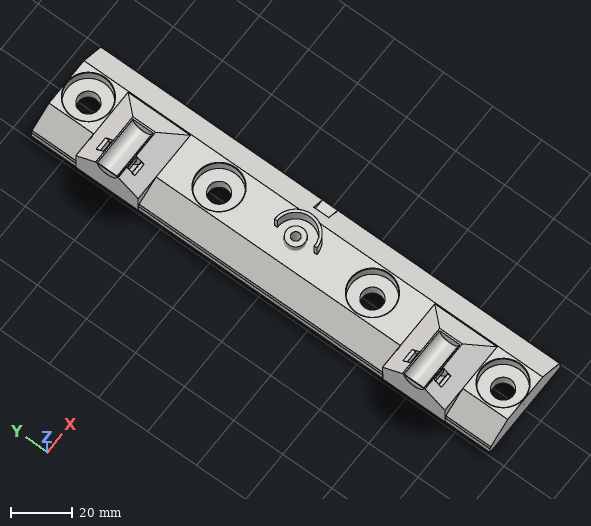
import cadquery as cq
import math

rail_length = 187.0
rail_width = 38.0
rail_height = 9.5
slope_angle = 31.0

strip_bottom_z = 3.0
strip_top_z = 4.0
strip_inset = 0.4

block_overhang = 0.15
total_height = 15.5
block_offset_y = 62.5
block_length = 25.4
block_angle = 36.5
block_end_x = 9.1

cradle_diameter = 8.1
cradle_end_x = 0.3

strap_width = 5.0
strap_inset = 4.5
strap_floor_z = 13.1
strap_mouth_length = 18.0
strap_inner_radius = 4.9
strap_outer_radius = 6.5

screw_offsets_y = (31.25, 84.5)
screw_diameter = 8.1
counterbore_diameter = 17.25
counterbore_chamfer = 0.2
counterbore_floor_z = 5.0

boss_diameter = 7.5
boss_height = 2.9
boss_fillet = 0.5
boss_hole_diameter = 3.4
ring_diameter = 17.25
ring_wall = 1.1
ring_height = 5.3

notch_length = 6.2
notch_inner_x = 13.75
notch_floor_z = 4.0

half_width = rail_width / 2
block_start_x = -half_width - block_overhang
slope_top_x = half_width - strip_inset - (rail_height - strip_top_z) / math.tan(math.radians(slope_angle))


def box(x_min, x_max, y_center, y_size, z_min, z_max):
    """Box given by its X and Z limits and its extent about y_center."""
    corner = cq.Vector(x_min, y_center - y_size / 2, z_min)
    return cq.Workplane(cq.Solid.makeBox(x_max - x_min, y_size, z_max - z_min, corner))


def z_cylinder(diameter, y, z_min, z_max):
    """Upright cylinder on the centre line of the rail."""
    return cq.Workplane("XY", origin=(0, y, z_min)).circle(diameter / 2).extrude(z_max - z_min)


def x_cylinder(radius, x_min, x_max, y, z):
    """Cylinder lying along X."""
    return cq.Workplane("YZ", origin=(x_min, y, z)).circle(radius).extrude(x_max - x_min)


def make_rail():
    outline = [
        (-half_width, 0),
        (half_width, 0),
        (half_width, strip_bottom_z),
        (half_width - strip_inset, strip_top_z),
        (slope_top_x, rail_height),
        (-slope_top_x, rail_height),
        (-half_width + strip_inset, strip_top_z),
        (-half_width, strip_bottom_z),
    ]
    return cq.Workplane("XZ").polyline(outline).close().extrude(rail_length / 2, both=True)


def make_block(y):
    """Block with a vertical -X face and equal slopes on its other three sides."""
    slope_run = (total_height - rail_height) / math.tan(math.radians(block_angle))
    half_length = block_length / 2
    lengthwise_outline = [
        (block_start_x, 0),
        (block_end_x, 0),
        (block_end_x, rail_height),
        (block_end_x - slope_run, total_height),
        (block_start_x, total_height),
    ]
    crosswise_outline = [
        (-half_length, 0),
        (half_length, 0),
        (half_length, rail_height),
        (half_length - slope_run, total_height),
        (-half_length + slope_run, total_height),
        (-half_length, rail_height),
    ]
    center = (0, y, 0)
    lengthwise = cq.Workplane("XZ", origin=center).polyline(lengthwise_outline).close()
    crosswise = cq.Workplane("YZ", origin=center).polyline(crosswise_outline).close()
    return lengthwise.extrude(half_length, both=True).intersect(crosswise.extrude(rail_width, both=True))


def cut_strap_passage(body, y):
    """Cut the side mouths and the round tunnel, leaving a U-shaped core under the cradle."""
    x_min = -half_width + strap_inset
    x_max = x_min + strap_width
    mouth = box(x_min, x_max, y, strap_mouth_length, strap_floor_z, total_height)
    tunnel = x_cylinder(strap_outer_radius, x_min, x_max, y, strap_floor_z)
    round_core = x_cylinder(strap_inner_radius, x_min, x_max, y, strap_floor_z)
    upper_core = box(x_min, x_max, y, 2 * strap_inner_radius, strap_floor_z, total_height)
    return body.cut(mouth.union(tunnel).cut(round_core.union(upper_core)))


def cut_cradle(body, y):
    return body.cut(x_cylinder(cradle_diameter / 2, -half_width, cradle_end_x, y, total_height))


def cut_screw_hole(body, y):
    """Through hole with a counterbore whose rim has a small chamfer."""
    counterbore_radius = counterbore_diameter / 2
    hole = z_cylinder(screw_diameter, y, 0, counterbore_floor_z)
    counterbore = z_cylinder(counterbore_diameter, y, counterbore_floor_z, rail_height)
    rim = cq.Solid.makeCone(
        counterbore_radius,
        counterbore_radius + counterbore_chamfer,
        counterbore_chamfer,
        cq.Vector(0, y, rail_height - counterbore_chamfer),
    )
    return body.cut(hole.union(counterbore)).cut(cq.Workplane(rim))


def add_boss(body):
    """Round boss with a fillet at its foot and a hole right through the rail."""
    boss_top_z = rail_height + boss_height
    body = body.union(z_cylinder(boss_diameter, 0, strip_top_z, boss_top_z))
    around_foot = cq.selectors.BoxSelector(
        (-boss_diameter, -boss_diameter, rail_height - boss_fillet),
        (boss_diameter, boss_diameter, rail_height + boss_fillet),
    )
    body = body.edges("%CIRCLE").edges(around_foot).fillet(boss_fillet)
    return body.cut(z_cylinder(boss_hole_diameter, 0, 0, boss_top_z))


def add_half_ring(body):
    ring_top_z = rail_height + ring_height
    outer = z_cylinder(ring_diameter, 0, strip_top_z, ring_top_z)
    inner = z_cylinder(ring_diameter - 2 * ring_wall, 0, strip_top_z, ring_top_z)
    positive_x_half = box(0, ring_diameter, 0, ring_diameter, strip_top_z, ring_top_z)
    return body.union(outer.cut(inner).intersect(positive_x_half))


def cut_notch(body):
    return body.cut(box(notch_inner_x, half_width, 0, notch_length, notch_floor_z, rail_height))


result = make_rail()
for side in (-1, 1):
    block_y = side * block_offset_y
    result = result.union(make_block(block_y))
    result = cut_strap_passage(result, block_y)
    result = cut_cradle(result, block_y)
    for screw_y in screw_offsets_y:
        result = cut_screw_hole(result, side * screw_y)
result = add_boss(result)
result = add_half_ring(result)
result = cut_notch(result)